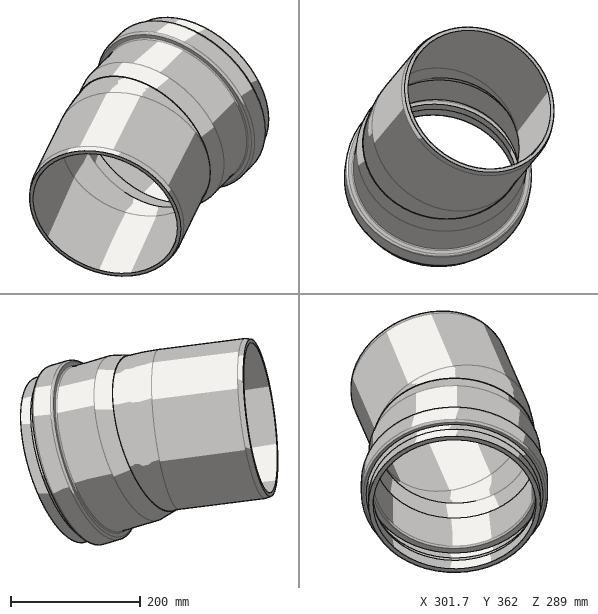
import cadquery as cq
import math

total_length = 362.0
bend_angle = 15.0
bend_radius = 128.5
spigot_length = 144.8
spigot_radius = 250.0 / 2
pipe_bore_radius = 234.2 / 2
spigot_chamfer_length = 8.5
spigot_chamfer_depth = 2.0

wall = 7.2
socket_radius = 266.0 / 2
mouth_radius = 266.5 / 2
collar_radius = 289.0 / 2
socket_bore_radius = socket_radius - wall
mouth_bore_radius = mouth_radius - wall
groove_radius = collar_radius - wall

neck_depth = 17.7
collar_top_depth = 25.0
collar_bottom_depth = 62.0
socket_straight_depth = 128.5

collar_edge_round = 3.5
collar_root_round = 1.8
groove_lip_round = 3.0
groove_corner_round = 1.8
flare_start_radius = 252.0 / 2
flare_overlap = 2.0

angle = math.radians(bend_angle)
bend_end_x = bend_radius * (1 - math.cos(angle))
bend_end_y = spigot_length + bend_radius * math.sin(angle)
mouth_edge_rise = mouth_radius * math.sin(angle)
socket_length = (total_length - bend_end_y - mouth_edge_rise) / math.cos(angle)


def turn_about_y(outline):
    """Revolve a closed outline, drawn as (radius, axial position), about the Y axis."""
    return outline.revolve(360, (0, 0, 0), (0, 1, 0))


def make_spigot():
    outline = (
        cq.Workplane("XY")
        .moveTo(pipe_bore_radius, 0)
        .lineTo(spigot_radius - spigot_chamfer_depth, 0)
        .lineTo(spigot_radius, spigot_chamfer_length)
        .lineTo(spigot_radius, spigot_length)
        .lineTo(pipe_bore_radius, spigot_length)
        .close()
    )
    return turn_about_y(outline)


def make_bend():
    """Sweep the pipe ring around a vertical pivot on the +X side."""
    return (
        cq.Workplane("XZ", origin=(0, spigot_length, 0))
        .circle(spigot_radius)
        .circle(pipe_bore_radius)
        .revolve(bend_angle, (bend_radius, 0, 0), (bend_radius, -1, 0))
    )


def make_socket():
    """Flared socket with a hollow collar for the seal, tilted onto the bend end."""
    mouth = socket_length
    neck = mouth - neck_depth
    collar_top = mouth - collar_top_depth
    collar_bottom = mouth - collar_bottom_depth
    flare_end = mouth - socket_straight_depth
    neck_flare_radius = mouth_radius + (collar_top_depth - neck_depth) / 2
    groove_top = collar_top - wall
    groove_bottom = collar_bottom + wall
    outline = (
        cq.Workplane("XY")
        .moveTo(pipe_bore_radius + wall / 2, -flare_overlap)
        .lineTo(flare_start_radius, -flare_overlap)
        .lineTo(socket_radius, flare_end)
        .lineTo(socket_radius, collar_bottom - collar_root_round)
        .radiusArc((socket_radius + collar_root_round, collar_bottom), collar_root_round)
        .lineTo(collar_radius - collar_edge_round, collar_bottom)
        .radiusArc((collar_radius, collar_bottom + collar_edge_round), -collar_edge_round)
        .lineTo(collar_radius, collar_top - collar_edge_round)
        .radiusArc((collar_radius - collar_edge_round, collar_top), -collar_edge_round)
        .lineTo(neck_flare_radius, collar_top)
        .lineTo(mouth_radius, neck)
        .lineTo(mouth_radius, mouth)
        .lineTo(mouth_bore_radius, mouth)
        .lineTo(mouth_bore_radius, neck - wall / 2)
        .lineTo(neck_flare_radius - wall, groove_top)
        .lineTo(groove_radius - groove_corner_round, groove_top)
        .radiusArc((groove_radius, groove_top - groove_corner_round), groove_corner_round)
        .lineTo(groove_radius, groove_bottom)
        .lineTo(socket_bore_radius + groove_lip_round, groove_bottom)
        .radiusArc((socket_bore_radius, groove_bottom - groove_lip_round), -groove_lip_round)
        .lineTo(socket_bore_radius, flare_end)
        .lineTo(pipe_bore_radius, 0)
        .close()
    )
    return (
        turn_about_y(outline)
        .rotate((0, 0, 0), (0, 0, 1), -bend_angle)
        .translate((bend_end_x, bend_end_y, 0))
    )


result = make_spigot().union(make_bend()).union(make_socket())